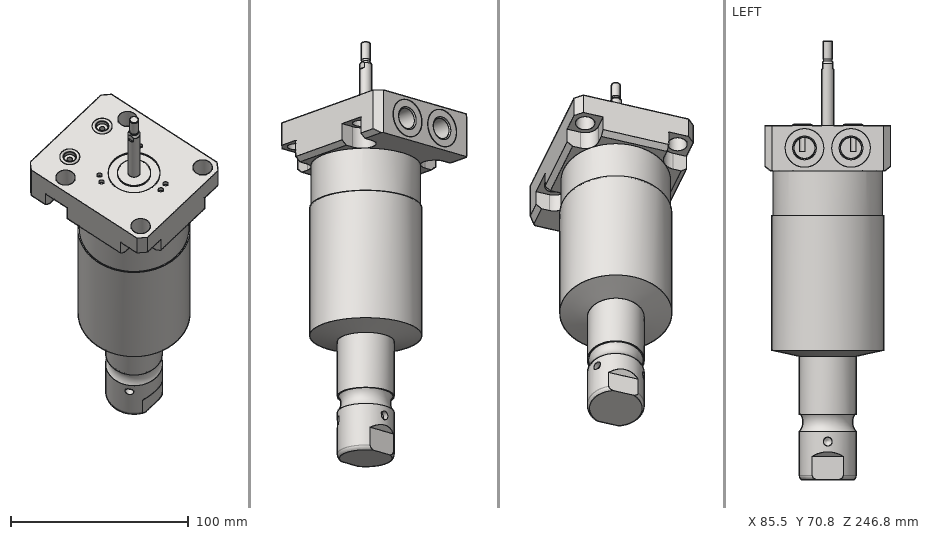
import cadquery as cq
import math

total_height = 246.8
plate_top = 199.2
plate_thickness = 25.5
plate_bottom = plate_top - plate_thickness
barrel_top = 148.5
barrel_bottom = 72.8
barrel_cone_height = 3.5
groove_top = 36.8
groove_bottom = 27.2
end_round_height = 2.5

collar_radius = 30.9
barrel_radius = 31.5
neck_radius = 16.0
groove_shoulder_radius = 15.3
groove_root_radius = 14.0
end_radius = 14.8

wrench_size = 27.0
wrench_flat_offset = wrench_size / 2
wrench_flat_height = 13.0
radial_hole_height = 21.5
radial_hole_radius = 2.5
radial_hole_depth = 3.7
radial_hole_tip = 1.5
radial_hole_angles = (60, 180, 300)

plate_length = 85.5
plate_width = 70.8
plate_left = -49.9
plate_right = plate_left + plate_length
corner_chamfer = 4.2
lower_chamfer_height = 2.5
lower_chamfer_inset = 3.2
mount_hole_offset = 27.5
mount_hole_radius = 5.5
flange_thickness = 13.3
relief_radius = 8.0

ring_groove_outer_radius = 14.5
ring_groove_inner_radius = 9.5
ring_groove_depth = 1.0
pin_circle_radius = 19.5
pin_hole_radius = 1.5
pin_hole_depth = 2.5
pin_hole_angles = (0, 15, 120, 135, 225, 240)

seal_x = -35.0
seal_y = 14.3
seal_pocket_radius = 3.5
seal_pocket_depth = 2.2
seal_ring_radius = 4.7
seal_tube_radius = 1.0
seal_protrusion = 0.7
passage_radius = 1.5
passage_depth = 14.5

port_y = 13.0
port_drop = 12.5
port_radius = 6.0
port_chamfer = 0.7
port_depth = seal_x - plate_left
port_face_radius = 10.9
port_face_depth = 0.2

spindle_radius = 3.5
spindle_tip_diameter = 5.2
spindle_tip_radius = spindle_tip_diameter / 2
spindle_tip_chamfer = 0.37
spindle_relief_depth = 0.12
spindle_relief_radius = spindle_tip_radius - spindle_relief_depth
spindle_relief_top = 236.7
spindle_relief_bottom = 235.5
spindle_shoulder = 234.0
spindle_flat_size = 5.7
spindle_flat_offset = spindle_flat_size / 2
spindle_flat_bottom = 231.3


def cylinder(radius, bottom, height, x=0, y=0):
    """Vertical cylinder standing on the given height."""
    return cq.Workplane("XY", origin=(x, y, bottom)).circle(radius).extrude(height)


def make_turned_body():
    """Barrel, neck with its rounded groove, and the rounded lower end."""
    neck_start = barrel_bottom - barrel_cone_height
    groove_middle = (groove_top + groove_bottom) / 2
    round_drop = neck_radius - end_radius
    round_radius = (end_round_height**2 + round_drop**2) / (2 * round_drop)
    half_turn = math.asin(end_round_height / round_radius) / 2
    round_middle = (
        neck_radius - round_radius * (1 - math.cos(half_turn)),
        end_round_height - round_radius * math.sin(half_turn),
    )
    profile = (
        cq.Workplane("XZ")
        .moveTo(0, 0)
        .lineTo(end_radius, 0)
        .threePointArc(round_middle, (neck_radius, end_round_height))
        .lineTo(neck_radius, groove_bottom)
        .threePointArc((groove_root_radius, groove_middle), (groove_shoulder_radius, groove_top))
        .lineTo(neck_radius, groove_top)
        .lineTo(neck_radius, neck_start)
        .lineTo(barrel_radius, barrel_bottom)
        .lineTo(barrel_radius, barrel_top)
        .lineTo(0, barrel_top)
        .close()
    )
    return profile.revolve(360, (0, 0, 0), (0, 1, 0))


def cut_wrench_flats(body):
    """Flats on the -X and +X sides, each ending in a 45 degree ramp."""
    ramp = neck_radius - wrench_flat_offset
    for side in (-1, 1):
        cutter = (
            cq.Workplane("XZ")
            .moveTo(side * wrench_flat_offset, 0)
            .lineTo(side * wrench_flat_offset, wrench_flat_height)
            .lineTo(side * neck_radius, wrench_flat_height + ramp)
            .lineTo(side * neck_radius, 0)
            .close()
            .extrude(neck_radius, both=True)
        )
        body = body.cut(cutter)
    return body


def cut_radial_holes(body):
    """Blind holes with drilled tips, aimed at the axis around the lower end."""
    for angle in radial_hole_angles:
        outward = cq.Vector(math.cos(math.radians(angle)), math.sin(math.radians(angle)), 0)
        floor = outward * (neck_radius - radial_hole_depth) + cq.Vector(0, 0, radial_hole_height)
        hole = cq.Solid.makeCylinder(radial_hole_radius, 2 * radial_hole_depth, floor, outward)
        tip = cq.Solid.makeCone(radial_hole_radius, 0, radial_hole_tip, floor, -outward)
        body = body.cut(cq.Workplane(obj=hole)).cut(cq.Workplane(obj=tip))
    return body


def make_plate():
    """Head plate with bevelled corners and bevelled lower edges on all sides but -X."""
    center_x = (plate_left + plate_right) / 2
    plate = (
        cq.Workplane("XY", origin=(center_x, 0, plate_bottom))
        .rect(plate_length, plate_width)
        .extrude(plate_thickness)
        .edges("|Z")
        .chamfer(corner_chamfer)
    )
    half_width = plate_width / 2
    for side in (-1, 1):
        bevel = (
            cq.Workplane("YZ", origin=(plate_left, 0, 0))
            .moveTo(side * half_width, plate_bottom)
            .lineTo(side * (half_width - lower_chamfer_inset), plate_bottom)
            .lineTo(side * half_width, plate_bottom + lower_chamfer_height)
            .close()
            .extrude(plate_length)
        )
        plate = plate.cut(bevel)
    right_bevel = (
        cq.Workplane("XZ")
        .moveTo(plate_right, plate_bottom)
        .lineTo(plate_right - lower_chamfer_inset, plate_bottom)
        .lineTo(plate_right, plate_bottom + lower_chamfer_height)
        .close()
        .extrude(half_width, both=True)
    )
    return plate.cut(right_bevel)


def relief_block(x_start, x_end, y_start, y_end):
    """Box-shaped part of a screw-head relief below the flange."""
    height = plate_thickness - flange_thickness
    return (
        cq.Workplane("XY", origin=((x_start + x_end) / 2, (y_start + y_end) / 2, plate_bottom))
        .rect(abs(x_end - x_start), abs(y_end - y_start))
        .extrude(height)
    )


def cut_mount_holes(plate):
    """Four through holes with reliefs below that open towards the plate edges."""
    relief_height = plate_thickness - flange_thickness
    for x in (-mount_hole_offset, mount_hole_offset):
        open_end = plate_right if x > 0 else x + relief_radius
        for side in (-1, 1):
            y = side * mount_hole_offset
            edge_y = side * plate_width / 2
            plate = plate.cut(cylinder(mount_hole_radius, plate_bottom, plate_thickness, x, y))
            plate = plate.cut(cylinder(relief_radius, plate_bottom, relief_height, x, y))
            plate = plate.cut(relief_block(x - relief_radius, open_end, y, edge_y))
            if x > 0:
                plate = plate.cut(relief_block(x, open_end, y - side * relief_radius, edge_y))
    return plate


def cut_top_details(plate):
    """Shallow ring groove around the spindle and the pin holes next to it."""
    groove = (
        cq.Workplane("XY", origin=(0, 0, plate_top - ring_groove_depth))
        .circle(ring_groove_outer_radius)
        .circle(ring_groove_inner_radius)
        .extrude(ring_groove_depth)
    )
    plate = plate.cut(groove)
    for angle in pin_hole_angles:
        x = pin_circle_radius * math.cos(math.radians(angle))
        y = pin_circle_radius * math.sin(math.radians(angle))
        plate = plate.cut(cylinder(pin_hole_radius, plate_top - pin_hole_depth, pin_hole_depth, x, y))
    return plate


def cut_ports(plate):
    """Side ports with a spot face and a bevelled mouth."""
    inward = cq.Vector(1, 0, 0)
    for y in (-port_y, port_y):
        center = cq.Vector(plate_left, y, plate_top - port_drop)
        seat = center + inward * port_face_depth
        spot_face = cq.Solid.makeCylinder(port_face_radius, port_face_depth, center, inward)
        bore = cq.Solid.makeCylinder(port_radius, port_depth, center, inward)
        bevel = cq.Solid.makeCone(port_radius + port_chamfer, port_radius, port_chamfer, seat, inward)
        for cutter in (spot_face, bore, bevel):
            plate = plate.cut(cq.Workplane(obj=cutter))
    return plate


def add_seals(plate):
    """Seal pockets with passages down to the ports and protruding O-rings."""
    tube_z = plate_top + seal_protrusion - seal_tube_radius
    for y in (-seal_y, seal_y):
        pocket_floor = plate_top - seal_pocket_depth
        plate = plate.cut(cylinder(seal_pocket_radius, pocket_floor, seal_pocket_depth, seal_x, y))
        plate = plate.cut(cylinder(passage_radius, plate_top - passage_depth, passage_depth, seal_x, y))
        ring = cq.Solid.makeTorus(seal_ring_radius, seal_tube_radius, cq.Vector(seal_x, y, tube_z))
        plate = plate.union(cq.Workplane(obj=ring))
    return plate


def make_spindle():
    """Stepped spindle with a relief below its tip and two flats at the shoulder."""
    profile = (
        cq.Workplane("XZ")
        .moveTo(0, plate_bottom)
        .lineTo(spindle_radius, plate_bottom)
        .lineTo(spindle_radius, spindle_shoulder)
        .lineTo(spindle_relief_radius, spindle_relief_bottom)
        .lineTo(spindle_relief_radius, spindle_relief_top)
        .lineTo(spindle_tip_radius, spindle_relief_top)
        .lineTo(spindle_tip_radius, total_height - spindle_tip_chamfer)
        .lineTo(spindle_tip_radius - spindle_tip_chamfer, total_height)
        .lineTo(0, total_height)
        .close()
    )
    spindle = profile.revolve(360, (0, 0, 0), (0, 1, 0))
    ramp = spindle_radius - spindle_flat_offset
    for side in (-1, 1):
        flat = (
            cq.Workplane("YZ")
            .moveTo(side * spindle_flat_offset, spindle_flat_bottom)
            .lineTo(side * spindle_radius, spindle_flat_bottom - ramp)
            .lineTo(side * spindle_radius, spindle_relief_bottom)
            .lineTo(side * spindle_flat_offset, spindle_relief_bottom)
            .close()
            .extrude(spindle_radius, both=True)
        )
        spindle = spindle.cut(flat)
    return spindle


lower_body = cut_radial_holes(cut_wrench_flats(make_turned_body()))
collar = cylinder(collar_radius, barrel_top, plate_bottom - barrel_top)
head = add_seals(cut_ports(cut_top_details(cut_mount_holes(make_plate()))))
result = lower_body.union(collar).union(head).union(make_spindle())